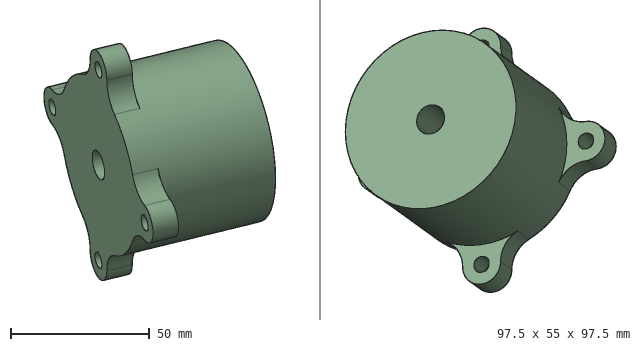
import cadquery as cq
import math

span = 97.5
total_depth = 55.0
flange_thickness = 10.0
body_radius = 33.7
ear_radius = 7.5
ear_hole_diameter = 6.0
bore_diameter = 11.0
ear_count = 4

ear_offset = span / 2 - ear_radius

blend_radius = (ear_radius**2 + ear_offset**2 - body_radius**2) / (2 * (body_radius - ear_radius))
blend_center_x = ear_radius + blend_radius
blend_angle = math.atan2(ear_offset, blend_center_x)
body_tangent_x = body_radius * math.cos(blend_angle)
body_tangent_z = body_radius * math.sin(blend_angle)

blend_mid_angle = math.pi + blend_angle / 2
blend_mid_x = blend_center_x + blend_radius * math.cos(blend_mid_angle)
blend_mid_z = ear_offset + blend_radius * math.sin(blend_mid_angle)


def make_ear():
    """Upper mounting ear with its two blends, reaching inward to the body axis."""
    return (
        cq.Workplane("XZ")
        .moveTo(0, 0)
        .lineTo(body_tangent_x, body_tangent_z)
        .threePointArc((blend_mid_x, blend_mid_z), (ear_radius, ear_offset))
        .threePointArc((0, span / 2), (-ear_radius, ear_offset))
        .threePointArc((-blend_mid_x, blend_mid_z), (-body_tangent_x, body_tangent_z))
        .close()
        .extrude(-flange_thickness)
    )


def make_ear_hole():
    return (
        cq.Workplane("XZ")
        .center(0, ear_offset)
        .circle(ear_hole_diameter / 2)
        .extrude(-flange_thickness)
    )


result = cq.Workplane("XZ").circle(body_radius).extrude(-total_depth)

for index in range(ear_count):
    angle = index * 360 / ear_count
    ear = make_ear().cut(make_ear_hole())
    result = result.union(ear.rotate((0, 0, 0), (0, 1, 0), angle))

bore = cq.Workplane("XZ").circle(bore_diameter / 2).extrude(-total_depth)
result = result.cut(bore)